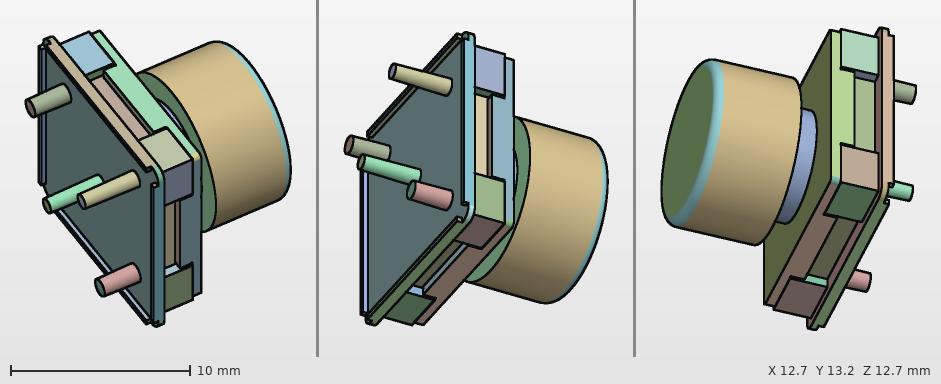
import cadquery as cq
import math


TOTAL_LENGTH = 13.2
LONG_PIN_REACH = 3.2
SHORT_PIN_REACH = 2.0
BUTTON_FACE_Y = TOTAL_LENGTH - LONG_PIN_REACH

FLANGE_SIDE = 12.65
FLANGE_CORNER_RADIUS = 0.7
FLANGE_BACK_Y = 0.7
RIM_HEIGHT = 0.3
RIM_WIDTH = 0.3
RIM_LENGTH = 11.01

HOUSING_SIDE = 11.4
HOUSING_BACK_Y = 2.9
SLOT_WIDTH = 5.81
SLOT_DEPTH = 0.6

COVER_SIDE = 11.33
COVER_CORNER_RADIUS = 0.3
COVER_BACK_Y = 3.48
TAB_WIDTH = 5.52
TAB_FRONT_Y = 2.1

STEM_DIAMETER = 6.5
BUTTON_DIAMETER = 9.61
BUTTON_FRONT_Y = 4.94
BUTTON_EDGE_RADIUS = 0.5

PIN_OFFSET = 3.81
THIN_PIN_DIAMETER = 1.0
THICK_PIN_DIAMETER = 1.15
PIN_DRAFT_ANGLE = 1

SIDE_ANGLES = (0, 90, 180, 270)


def plane_at(y):
    """Workplane at the given Y whose extrusions run toward +Y."""
    return cq.Workplane(cq.Plane(origin=(0, y, 0), xDir=(1, 0, 0), normal=(0, 1, 0)))


def square_plate(side, y_start, y_end):
    return plane_at(y_start).rect(side, side).extrude(y_end - y_start)


def disc(diameter, y_start, y_end):
    return plane_at(y_start).circle(diameter / 2).extrude(y_end - y_start)


def side_blocks(width, inner, outer, y_start, y_end):
    """One block centred on each side, between two distances from the Y axis."""
    block = (
        plane_at(y_start)
        .center(0, (inner + outer) / 2)
        .rect(width, outer - inner)
        .extrude(y_end - y_start)
    )
    blocks = cq.Workplane()
    for angle in SIDE_ANGLES:
        blocks = blocks.add(block.rotate((0, 0, 0), (0, 1, 0), angle))
    return blocks.combine()


def make_flange():
    plate = square_plate(FLANGE_SIDE, RIM_HEIGHT, FLANGE_BACK_Y)
    plate = plate.edges("|Y").fillet(FLANGE_CORNER_RADIUS)
    edge = FLANGE_SIDE / 2
    return plate.union(side_blocks(RIM_LENGTH, edge - RIM_WIDTH, edge, 0, RIM_HEIGHT))


def make_housing():
    block = square_plate(HOUSING_SIDE, FLANGE_BACK_Y, HOUSING_BACK_Y)
    edge = HOUSING_SIDE / 2
    return block.cut(side_blocks(SLOT_WIDTH, edge - SLOT_DEPTH, edge, FLANGE_BACK_Y, HOUSING_BACK_Y))


def make_cover():
    plate = square_plate(COVER_SIDE, HOUSING_BACK_Y, COVER_BACK_Y)
    plate = plate.edges("|Y").fillet(COVER_CORNER_RADIUS)
    slot_floor = HOUSING_SIDE / 2 - SLOT_DEPTH
    return plate.union(side_blocks(TAB_WIDTH, slot_floor, COVER_SIDE / 2, TAB_FRONT_Y, HOUSING_BACK_Y))


def make_button():
    stem = disc(STEM_DIAMETER, COVER_BACK_Y, BUTTON_FRONT_Y)
    button = disc(BUTTON_DIAMETER, BUTTON_FRONT_Y, BUTTON_FACE_Y)
    return stem.union(button.faces(">Y").edges().fillet(BUTTON_EDGE_RADIUS))


def make_pin(x, z, base_diameter, reach):
    """Pin tapering from the flange front to its tip at Y = -reach."""
    length = RIM_HEIGHT + reach
    base_radius = base_diameter / 2
    tip_radius = base_radius - length * math.tan(math.radians(PIN_DRAFT_ANGLE))
    base_centre = cq.Vector(x, RIM_HEIGHT, z)
    return cq.Workplane(cq.Solid.makeCone(base_radius, tip_radius, length, base_centre, cq.Vector(0, -1, 0)))


PINS = (
    (0, 0, THIN_PIN_DIAMETER, LONG_PIN_REACH),
    (PIN_OFFSET, PIN_OFFSET, THIN_PIN_DIAMETER, LONG_PIN_REACH),
    (-PIN_OFFSET, PIN_OFFSET, THICK_PIN_DIAMETER, SHORT_PIN_REACH),
    (PIN_OFFSET, -PIN_OFFSET, THICK_PIN_DIAMETER, SHORT_PIN_REACH),
)

result = make_flange().union(make_housing()).union(make_cover()).union(make_button())
for pin in PINS:
    result = result.union(make_pin(*pin))